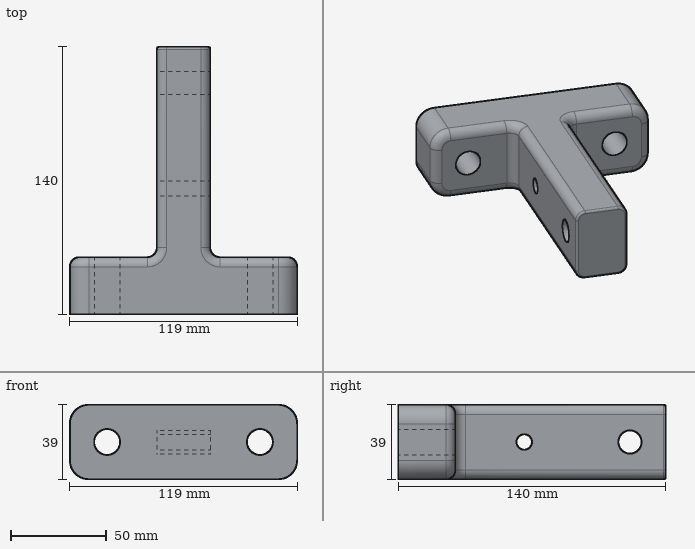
import cadquery as cq

width = 119.0
length = 140.0
height = 39.0

base_depth = 30.0
base_corner_radius = 10.0
stem_width = 28.0
edge_radius = 5.0
stem_end_radius = 1.3

selection_margin = 1.4

base_hole_diameter = 13.5
base_hole_spacing = 80.0
pin_hole_diameter = 12.0
pin_hole_from_end = 18.8
small_hole_diameter = 8.0
small_hole_from_end = 74.0


def make_base():
    """Plate with its front face on Y = 0 and corners rounded along Y."""
    plate = cq.Workplane("XY").box(width, base_depth, height, centered=(True, False, True))
    return plate.edges("|Y").fillet(base_corner_radius)


def make_stem():
    """Full-height bar running back along the middle of the base."""
    return cq.Workplane("XY").box(stem_width, length, height, centered=(True, False, True))


def round_edges(body):
    inner_corner = cq.selectors.BoxSelector(
        (-stem_width, base_depth - selection_margin, -height),
        (stem_width, base_depth + selection_margin, height),
    )
    body = body.edges("|Z").edges(inner_corner).fillet(edge_radius)
    stem_edges = cq.selectors.BoxSelector(
        (-stem_width, base_depth + edge_radius, -height),
        (stem_width, length - selection_margin, height),
    )
    body = body.edges("|Y").edges(stem_edges).fillet(edge_radius)
    return body.faces(">Y").edges().fillet(stem_end_radius)


def base_holes():
    """Pair of through holes along Y, one on each side of the stem."""
    offset = base_hole_spacing / 2
    return (
        cq.Workplane("XZ")
        .pushPoints([(-offset, 0), (offset, 0)])
        .circle(base_hole_diameter / 2)
        .extrude(-base_depth)
    )


def stem_hole(diameter, distance_from_end):
    """Through hole along X at mid-height of the stem."""
    return (
        cq.Workplane("YZ")
        .center(length - distance_from_end, 0)
        .circle(diameter / 2)
        .extrude(stem_width / 2, both=True)
    )


result = (
    round_edges(make_base().union(make_stem()))
    .cut(base_holes())
    .cut(stem_hole(pin_hole_diameter, pin_hole_from_end))
    .cut(stem_hole(small_hole_diameter, small_hole_from_end))
)